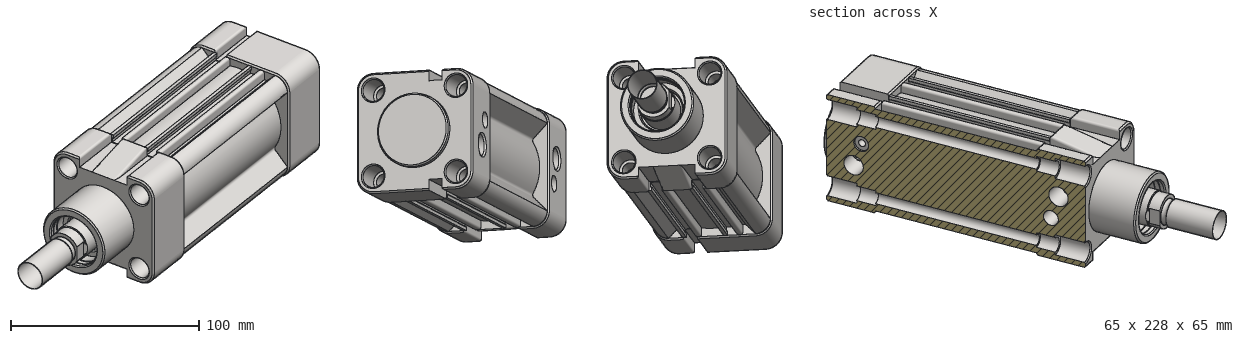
import cadquery as cq
OVERALL_LENGTH = 228.0

CAP_SIZE = 65.0
CAP_LENGTH = 29.6
CAP_EDGE_CHAMFER = 1.0
BOLT_OFFSET = 23.3
CAP_HALF = CAP_SIZE / 2
CAP_CORNER_RADIUS = CAP_HALF - BOLT_OFFSET

RECESS_HALF_WIDTH = 15.3
RECESS_FLOOR = 26.7
RECESS_EDGE_RADIUS = 1.4
WEDGE_HALF_WIDTH = 8.0
WEDGE_EDGE_RADIUS = 1.4

BARREL_LENGTH = 97.0
BARREL_HALF = 31.7
BARREL_CORNER_RADIUS = 8.2
BARREL_CORE_RADIUS = 27.4
VALLEY_MOUTH_HALF_WIDTH = 23.7
SIDE_VALLEY_DEPTH = 9.5
TOP_VALLEY_DEPTH = 5.5
VALLEY_FILLET = 1.8

SLOT_CENTER = 11.2
SLOT_MOUTH_WIDTH = 5.5
SLOT_INNER_WIDTH = 6.8
SLOT_LIP_THICKNESS = 2.0
SLOT_FLOOR = 27.1
SLOT_BLOCK_WIDTH = 11.0
SLOT_BLOCK_EDGE_RADIUS = 1.4

COLLAR_RADIUS = 19.8
COLLAR_LENGTH = 27.8
REAR_BOSS_LENGTH = 3.6
COLLAR_CHAMFER = 0.8
COLLAR_RECESS_RADIUS = 14.8
COLLAR_RECESS_DEPTH = 11.9
COLLAR_RECESS_CHAMFER = 0.7
COLLAR_GROOVE_RADIUS = 15.3
COLLAR_GROOVE_START = 3.2
COLLAR_GROOVE_END = 6.4
SEAL_RADIUS = 11.5
SEAL_DEPTH = 3.5
SEAL_CHAMFER = 0.7

BOLT_COUNTERBORE_RADIUS = 6.0
BOLT_COUNTERBORE_DEPTH = 18.2
BOLT_COUNTERBORE_CHAMFER = 0.7
BOLT_THREAD_RADIUS = 4.3
BOLT_CLEARANCE_RADIUS = 3.2

PORT_RADIUS = 5.7
PORT_CHAMFER = 1.0
PORT_Z = 6.5
PORT_FROM_END = 16.5
SCREW_RADIUS = 4.3
SCREW_Z = 7.5
SCREW_FROM_END = 21.0
SCREW_SEAT_DEPTH = 10.3
SCREW_PASSAGE_RADIUS = 2.0
CHAMBER_RADIUS = 15.0
CHAMBER_LENGTH = 22.8

ROD_RADIUS = 10.0
ROD_STEP_Y = -29.9
SHANK_RADIUS = 9.5
SHANK_END_Y = -36.7
FLAT_HALF_WIDTH = 8.5
FLAT_START_Y = -30.5
NECK_RADIUS = 7.0
NECK_SHOULDER_RADIUS = 7.5
THREAD_START_Y = -40.1
THREAD_RADIUS = 8.0
TUBE_WALL = 0.2

BARREL_START_Y = CAP_LENGTH
REAR_CAP_START_Y = BARREL_START_Y + BARREL_LENGTH
REAR_FACE_Y = REAR_CAP_START_Y + CAP_LENGTH
BOSS_END_Y = REAR_FACE_Y + REAR_BOSS_LENGTH
ROD_TIP_Y = BOSS_END_Y - OVERALL_LENGTH


def box(x0, x1, y0, y1, z0, z1):
    """Box between two opposite corners."""
    return cq.Workplane("XY").box(x1 - x0, y1 - y0, z1 - z0, centered=False).translate((x0, y0, z0))


def cylinder_y(radius, y0, y1, x=0.0, z=0.0):
    """Cylinder along Y from y0 to y1."""
    return cq.Workplane(cq.Solid.makeCylinder(radius, y1 - y0, cq.Vector(x, y0, z), cq.Vector(0, 1, 0)))


def cylinder_x(radius, x0, x1, y, z):
    """Cylinder along X from x0 to x1."""
    return cq.Workplane(cq.Solid.makeCylinder(radius, x1 - x0, cq.Vector(x0, y, z), cq.Vector(1, 0, 0)))


def extrude_y(points, y0, y1):
    """Prism along Y with an outline given as (x, z) points."""
    return cq.Workplane("XZ").polyline(points).close().extrude(-(y1 - y0)).translate((0, y0, 0))


def rounded_square(half, corner_radius, y0, y1):
    """Square bar along Y with rounded corners."""
    return box(-half, half, y0, y1, -half, half).edges("|Y").fillet(corner_radius)


def with_bottom_copy(shape):
    """The shape together with its mirror image below the XY plane."""
    return shape.union(shape.mirror("XY"))


def cap_block(y0):
    """Plain end cap with chamfered end outlines."""
    block = rounded_square(CAP_HALF, CAP_CORNER_RADIUS, y0, y0 + CAP_LENGTH)
    return block.faces("<Y or >Y").chamfer(CAP_EDGE_CHAMFER)


def recess_cutter(x0, x1, y0, rounded_sides):
    """Channel along a cap's top whose mouth flares in a convex round on the given sides (-1, 1)."""
    y1 = y0 + CAP_LENGTH
    cutter = box(x0, x1, y0, y1, RECESS_FLOOR, CAP_HALF)
    for side in rounded_sides:
        wall = side * RECESS_HALF_WIDTH
        outer = wall + side * RECESS_EDGE_RADIUS
        low = CAP_HALF - RECESS_EDGE_RADIUS
        flare = box(min(wall, outer), max(wall, outer), y0, y1, low, CAP_HALF)
        cutter = cutter.union(flare.cut(cylinder_y(RECESS_EDGE_RADIUS, y0, y1, outer, low)))
    return cutter


def front_cap_wedge():
    """Ramp in the front recess, rising from the floor at the front face to the cap's top."""
    wedge = (
        cq.Workplane("YZ")
        .moveTo(0, 0)
        .lineTo(0, RECESS_FLOOR)
        .lineTo(CAP_LENGTH, CAP_HALF)
        .lineTo(CAP_LENGTH, 0)
        .close()
        .extrude(WEDGE_HALF_WIDTH, both=True)
    )
    ramp_sides = wedge.faces(">Z").edges("<X or >X")
    return ramp_sides.fillet(WEDGE_EDGE_RADIUS)


def front_cap():
    block = cap_block(0)
    recess = recess_cutter(-RECESS_HALF_WIDTH, RECESS_HALF_WIDTH, 0, (-1, 1))
    wedges = with_bottom_copy(front_cap_wedge()).intersect(block)
    return block.cut(with_bottom_copy(recess)).union(wedges)


def rear_cap():
    recess = recess_cutter(-RECESS_HALF_WIDTH, -WEDGE_HALF_WIDTH, REAR_CAP_START_Y, (-1,))
    return cap_block(REAR_CAP_START_Y).cut(with_bottom_copy(recess))


def valley_cutter(depth):
    """Trapezoid with 45 degree flanks, cut into the top of the barrel."""
    mouth = VALLEY_MOUTH_HALF_WIDTH
    points = [
        (-mouth, BARREL_HALF),
        (-mouth + depth, BARREL_HALF - depth),
        (mouth - depth, BARREL_HALF - depth),
        (mouth, BARREL_HALF),
    ]
    return extrude_y(points, BARREL_START_Y, REAR_CAP_START_Y)


def sensor_slot_block(x):
    """Rib carrying one T slot in its top."""
    y0, y1 = BARREL_START_Y, REAR_CAP_START_Y
    half = SLOT_BLOCK_WIDTH / 2
    rib = box(x - half, x + half, y0, y1, 0, BARREL_HALF)
    return rib.faces(">Z").edges("|Y").fillet(SLOT_BLOCK_EDGE_RADIUS)


def sensor_slot(x):
    """T-shaped slot space."""
    y0, y1 = BARREL_START_Y, REAR_CAP_START_Y
    mouth = SLOT_MOUTH_WIDTH / 2
    inner = SLOT_INNER_WIDTH / 2
    channel = box(x - inner, x + inner, y0, y1, SLOT_FLOOR, BARREL_HALF - SLOT_LIP_THICKNESS)
    return channel.union(box(x - mouth, x + mouth, y0, y1, SLOT_FLOOR, BARREL_HALF))


def barrel():
    y0, y1 = BARREL_START_Y, REAR_CAP_START_Y
    core = cylinder_y(BARREL_CORE_RADIUS, y0, y1)
    profile = rounded_square(BARREL_HALF, BARREL_CORNER_RADIUS, y0, y1)
    side_valley = valley_cutter(SIDE_VALLEY_DEPTH)
    for angle in (90, -90):
        profile = profile.cut(side_valley.rotate((0, 0, 0), (0, 1, 0), angle).cut(core))
    reach = BARREL_CORE_RADIUS
    near_axis = cq.selectors.BoxSelector((-reach, y0, -reach), (reach, y1, reach))
    profile = profile.edges("|Y").edges(near_axis).fillet(VALLEY_FILLET)
    profile = profile.cut(with_bottom_copy(valley_cutter(TOP_VALLEY_DEPTH)).cut(core))
    for x in (-SLOT_CENTER, SLOT_CENTER):
        profile = profile.union(with_bottom_copy(sensor_slot_block(x)))
        profile = profile.cut(with_bottom_copy(sensor_slot(x)))
    return profile


def collar():
    """Collar around the rod, reaching from the front cap."""
    return cylinder_y(COLLAR_RADIUS, -COLLAR_LENGTH, 0).faces("<Y").chamfer(COLLAR_CHAMFER)


def rear_boss():
    return cylinder_y(COLLAR_RADIUS, REAR_FACE_Y, BOSS_END_Y).faces(">Y").chamfer(COLLAR_CHAMFER)


def chamfered_hole(radius, chamfer, y0, y1):
    """Hole space along Y with a widened mouth at y0."""
    mouth = cq.Solid.makeCone(
        radius + chamfer,
        radius,
        chamfer,
        cq.Vector(0, y0, 0),
        cq.Vector(0, 1, 0),
    )
    return cylinder_y(radius, y0, y1).union(cq.Workplane(mouth))


def rod_passage():
    """Collar recess with its groove, seal seat, rod guide bore and the chamber in the rear cap."""
    mouth_y = -COLLAR_LENGTH
    recess_y = mouth_y + COLLAR_RECESS_DEPTH
    passage = chamfered_hole(COLLAR_RECESS_RADIUS, COLLAR_RECESS_CHAMFER, mouth_y, recess_y)
    groove = cylinder_y(COLLAR_GROOVE_RADIUS, mouth_y + COLLAR_GROOVE_START, mouth_y + COLLAR_GROOVE_END)
    seal = chamfered_hole(SEAL_RADIUS, SEAL_CHAMFER, recess_y, recess_y + SEAL_DEPTH)
    guide = cylinder_y(ROD_RADIUS, mouth_y, REAR_CAP_START_Y)
    chamber = cylinder_y(CHAMBER_RADIUS, REAR_CAP_START_Y, REAR_CAP_START_Y + CHAMBER_LENGTH)
    return passage.union(groove).union(seal).union(guide).union(chamber)


def bolt_hole_end():
    """Chamfered counterbore and thread hole on the Y axis, entering a cap at Y = 0."""
    counterbore = chamfered_hole(
        BOLT_COUNTERBORE_RADIUS, BOLT_COUNTERBORE_CHAMFER, 0, BOLT_COUNTERBORE_DEPTH
    )
    return counterbore.union(cylinder_y(BOLT_THREAD_RADIUS, 0, CAP_LENGTH))


def bolt_holes():
    """Hole spaces in the four corners, stepped alike from both ends."""
    front = bolt_hole_end()
    rear = front.mirror("XZ").translate((0, REAR_FACE_Y, 0))
    hole = front.union(rear).union(cylinder_y(BOLT_CLEARANCE_RADIUS, 0, REAR_FACE_Y))
    return [
        hole.translate((x, 0, z))
        for x in (-BOLT_OFFSET, BOLT_OFFSET)
        for z in (-BOLT_OFFSET, BOLT_OFFSET)
    ]


def port(y, z):
    """Air port from the -X face to the middle plane, with a chamfered mouth."""
    mouth = cq.Solid.makeCone(
        PORT_RADIUS + PORT_CHAMFER,
        PORT_RADIUS,
        PORT_CHAMFER,
        cq.Vector(-CAP_HALF, y, z),
        cq.Vector(1, 0, 0),
    )
    return cylinder_x(PORT_RADIUS, -CAP_HALF, 0, y, z).union(cq.Workplane(mouth))


def side_holes():
    """Ports and cushion screw holes of both caps."""
    rear_screw_y = REAR_FACE_Y - SCREW_FROM_END
    seat_x = -CAP_HALF + SCREW_SEAT_DEPTH
    return [
        port(PORT_FROM_END, PORT_Z),
        port(REAR_FACE_Y - PORT_FROM_END, -PORT_Z),
        cylinder_x(SCREW_RADIUS, -CAP_HALF, 0, SCREW_FROM_END, -SCREW_Z),
        cylinder_x(SCREW_RADIUS, -CAP_HALF, seat_x, rear_screw_y, SCREW_Z),
        cylinder_x(SCREW_PASSAGE_RADIUS, -CAP_HALF, 0, rear_screw_y, SCREW_Z),
    ]


def make_housing():
    body = barrel().union(front_cap()).union(rear_cap()).union(collar()).union(rear_boss())
    for hole in [rod_passage()] + bolt_holes() + side_holes():
        body = body.cut(hole)
    return body


def flat_cutter():
    """Space beside one wrench flat, with a 45 degree run-out towards the rod."""
    clear = 2 * ROD_RADIUS
    run_out = clear - FLAT_HALF_WIDTH
    return (
        cq.Workplane("XY")
        .moveTo(FLAT_HALF_WIDTH, SHANK_END_Y)
        .lineTo(FLAT_HALF_WIDTH, FLAT_START_Y)
        .lineTo(clear, FLAT_START_Y + run_out)
        .lineTo(clear, SHANK_END_Y)
        .close()
        .extrude(ROD_RADIUS, both=True)
    )


def make_rod():
    """Turned rod with wrench flats, a waisted neck and a thin hollow end."""
    neck_middle_y = (SHANK_END_Y + THREAD_START_Y) / 2
    step_chamfer = ROD_RADIUS - SHANK_RADIUS
    turned = (
        cq.Workplane("XY")
        .moveTo(0, REAR_CAP_START_Y)
        .lineTo(ROD_RADIUS, REAR_CAP_START_Y)
        .lineTo(ROD_RADIUS, ROD_STEP_Y + step_chamfer)
        .lineTo(SHANK_RADIUS, ROD_STEP_Y)
        .lineTo(SHANK_RADIUS, SHANK_END_Y)
        .lineTo(NECK_SHOULDER_RADIUS, SHANK_END_Y)
        .threePointArc((NECK_RADIUS, neck_middle_y), (THREAD_RADIUS, THREAD_START_Y))
        .lineTo(THREAD_RADIUS, ROD_TIP_Y)
        .lineTo(THREAD_RADIUS - TUBE_WALL, ROD_TIP_Y)
        .lineTo(THREAD_RADIUS - TUBE_WALL, THREAD_START_Y)
        .threePointArc(
            (NECK_RADIUS - TUBE_WALL, neck_middle_y),
            (NECK_SHOULDER_RADIUS - TUBE_WALL, SHANK_END_Y),
        )
        .lineTo(0, SHANK_END_Y)
        .close()
        .revolve(360, (0, 0, 0), (0, 1, 0))
    )
    flat = flat_cutter()
    return turned.cut(flat).cut(flat.mirror("YZ"))


housing = make_housing()
rod = make_rod()
result = cq.Compound.makeCompound([housing.val(), rod.val()])